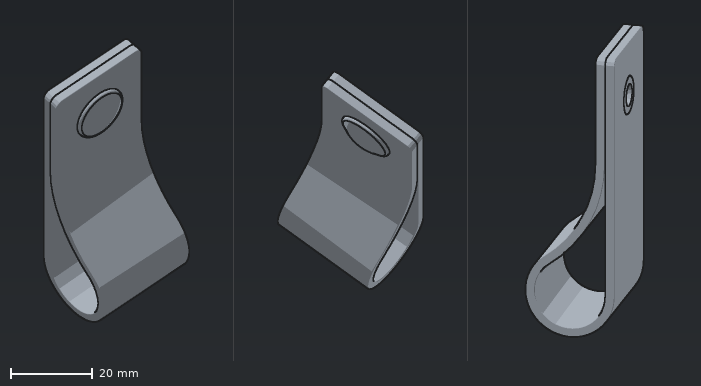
import cadquery as cq
import math

LENGTH = 73.4
STRAP_WIDTH = 28.0
LOOP_RADIUS = 11.4
THICKNESS = 2.4
LAYER_GAP = 0.1
BEND_RADIUS = 31.55
CORNER_RADIUS = 2.05
EDGE_RADIUS = 0.2

RIVET_DROP = 13.95
SHANK_RADIUS = 4.85
SHANK_EDGE_RADIUS = 0.45
BORE_RADIUS = 2.8
HEAD_RADIUS = 7.2
HEAD_HEIGHT = 2.85
HEAD_RIM_HEIGHT = 0.3
HEAD_RIM_ROUND = 0.65

STACK = 2 * THICKNESS + LAYER_GAP
RIVET_Z = LENGTH - RIVET_DROP
LOOP_CENTER = (LOOP_RADIUS, LOOP_RADIUS)

LOOP_MID_RADIUS = LOOP_RADIUS - THICKNESS / 2
BEND_X = STACK - THICKNESS / 2 + BEND_RADIUS
CENTER_DISTANCE = BEND_RADIUS + LOOP_MID_RADIUS
TANGENT_ANGLE = math.acos((BEND_X - LOOP_RADIUS) / CENTER_DISTANCE)
BEND_CENTER = (BEND_X, LOOP_RADIUS + CENTER_DISTANCE * math.sin(TANGENT_ANGLE))


def on_circle(center, radius, angle):
    """Point on a circle in the XZ plane, angle in radians from +X."""
    return (center[0] + radius * math.cos(angle), center[1] + radius * math.sin(angle))


def make_strap():
    inner_radius = LOOP_RADIUS - THICKNESS
    bend_inside = BEND_RADIUS + THICKNESS / 2
    bend_outside = BEND_RADIUS - THICKNESS / 2
    bend_middle = math.pi + TANGENT_ANGLE / 2
    loop_middle = (TANGENT_ANGLE - math.pi) / 2
    profile = (
        cq.Workplane("XZ", origin=(0, STRAP_WIDTH / 2, 0))
        .moveTo(0, LENGTH)
        .lineTo(0, LOOP_RADIUS)
        .threePointArc(
            on_circle(LOOP_CENTER, LOOP_RADIUS, loop_middle),
            on_circle(LOOP_CENTER, LOOP_RADIUS, TANGENT_ANGLE),
        )
        .threePointArc(
            on_circle(BEND_CENTER, bend_outside, bend_middle),
            on_circle(BEND_CENTER, bend_outside, math.pi),
        )
        .lineTo(STACK, LENGTH)
        .lineTo(STACK - THICKNESS, LENGTH)
        .lineTo(STACK - THICKNESS, BEND_CENTER[1])
        .threePointArc(
            on_circle(BEND_CENTER, bend_inside, bend_middle),
            on_circle(LOOP_CENTER, inner_radius, TANGENT_ANGLE),
        )
        .threePointArc(
            on_circle(LOOP_CENTER, inner_radius, loop_middle),
            (THICKNESS, LOOP_RADIUS),
        )
        .lineTo(THICKNESS, LENGTH)
        .close()
    )
    strap = profile.extrude(STRAP_WIDTH)
    strap = strap.faces(">Z").edges("|X").fillet(CORNER_RADIUS)
    rivet_hole = cq.Workplane("YZ").center(0, RIVET_Z).circle(SHANK_RADIUS).extrude(STACK)
    strap = strap.cut(rivet_hole)
    return strap.edges("not (|X or |Y)").fillet(EDGE_RADIUS)


def make_rivet():
    shank = (
        cq.Workplane("YZ").center(0, RIVET_Z).circle(SHANK_RADIUS).extrude(STACK)
        .faces("<X").edges().fillet(SHANK_EDGE_RADIUS)
    )
    dome_start = HEAD_RIM_HEIGHT + HEAD_RIM_ROUND
    dome_base_radius = HEAD_RADIUS - HEAD_RIM_ROUND
    dome_rise = HEAD_HEIGHT - dome_start
    dome_radius = (dome_base_radius**2 + dome_rise**2) / (2 * dome_rise)
    dome_center = (HEAD_HEIGHT - dome_radius, 0)
    half_angle = math.asin(dome_base_radius / dome_radius) / 2
    rim_center = (HEAD_RIM_HEIGHT, dome_base_radius)
    head = (
        cq.Workplane("XZ", origin=(STACK, 0, RIVET_Z))
        .lineTo(0, HEAD_RADIUS)
        .lineTo(HEAD_RIM_HEIGHT, HEAD_RADIUS)
        .threePointArc(
            on_circle(rim_center, HEAD_RIM_ROUND, math.pi / 4),
            (dome_start, dome_base_radius),
        )
        .threePointArc(
            on_circle(dome_center, dome_radius, half_angle),
            (HEAD_HEIGHT, 0),
        )
        .close()
        .revolve(360, (0, 0, 0), (1, 0, 0))
    )
    bore = cq.Workplane("YZ").center(0, RIVET_Z).circle(BORE_RADIUS).extrude(STACK)
    return shank.union(head).cut(bore)


strap = make_strap()
rivet = make_rivet()

result = cq.Compound.makeCompound([strap.solids().val(), rivet.solids().val()])